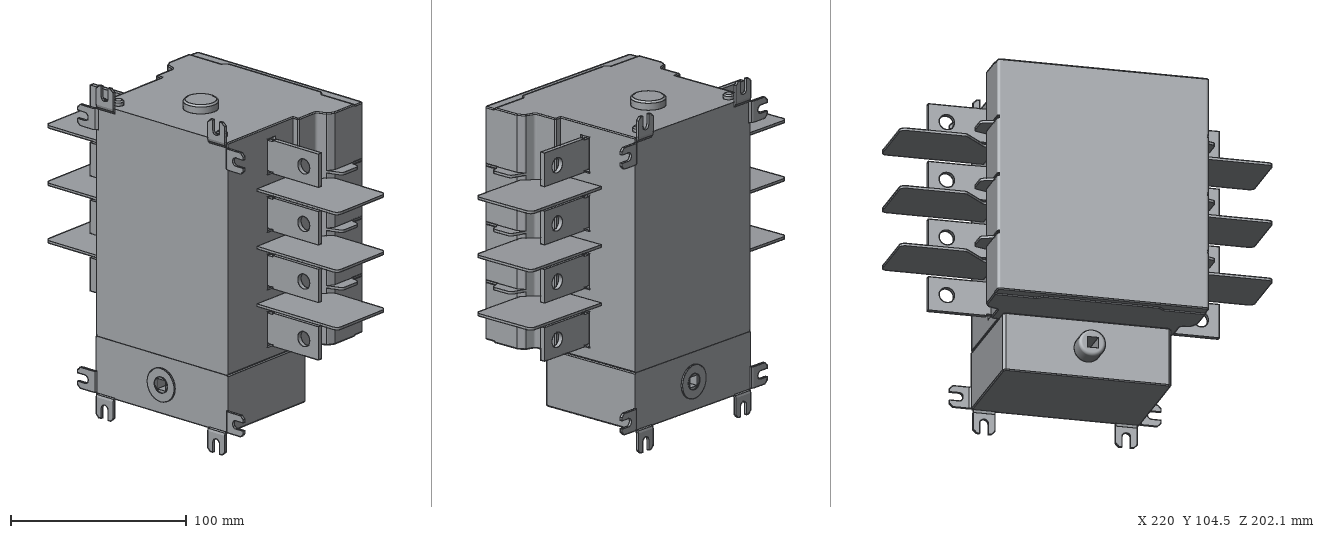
import cadquery as cq

POLES = 4
POLE_PITCH = 35.0
END_PLATE = 0.7
BODY_HEIGHT = POLES * POLE_PITCH + 2 * END_PLATE
EDGE_BREAK = 0.7

LOWER_HALF_WIDTH = 49.5
STEP_HALF_WIDTH = 54.0
COVER_HALF_WIDTH = 62.5
STEP_LEVEL = 56.5
STEP_CHAMFER = 0.9
FLARE_LEVEL = 71.7
FLARE_SLOPE = 0.36
FLARE_END = 59.8
FLANK_BEVEL = (60.5, 74.5)
FLANK_LEVEL = 78.0
FLARE_INNER_RADIUS = 1.8
SHOULDER_LEVEL = 95.7
RIDGE_LEVEL = 98.8
RIDGE_HALF_WIDTH = 34.5

COVER_START = 92.8
COVER_LEVEL = 103.0
COVER_CORNER_RADIUS = 1.8
GROOVE_DEPTH = 0.9

EMBED_DEPTH = 4.5

BARRIER_THICKNESS = 1.5
BARRIER_REACH = 110
BARRIER_LOW = 25.5
BARRIER_HIGH = 67.8
BARRIER_NECK = 53.5
BARRIER_NECK_X = 57.0
BARRIER_CORNER_RADIUS = 3.3
WING_REACH = 69.3
WING_HIGH = 90.6
WING_CORNER_RADIUS = 2.6

TERMINAL_REACH = 86.0
TERMINAL_WIDTH = 20.2
TERMINAL_THICKNESS = 2.9
TERMINAL_LEVEL = 38.0
TERMINAL_HOLE_X = 75.0
TERMINAL_HOLE_DIAMETER = 9.0
TERMINAL_NECK_WIDTH = 18.5
TERMINAL_NECK_END = 51.5
POCKET_WIDTH = 6.8
POCKET_HEIGHT = 21.8
POCKET_DEPTH = 1.8

DRIVE_HEIGHT = POLE_PITCH
DRIVE_DEPTH = 68.5
DRIVE_CORNER = 1.5
DRIVE_PROUD = 0.2
SHAFT_Z = -DRIVE_HEIGHT / 2
KNOB_RADIUS = 8.0
KNOB_LENGTH = 11.7
KNOB_ROUND = 2.0
COLLAR_RADIUS = 10.1
COLLAR_HEIGHT = 1.3
SOCKET_RADIUS = 4.8
SOCKET_DEPTH = 0.7
SHAFT_SQUARE = 6.4

CAP_RADIUS = 10.1
CAP_HEIGHT = 5.3
CAP_LEVEL = 33.7
CAP_CHAMFER = 1.0
STUD_X = 39.0
STUD_LEVEL = 7.0
STUD_RADIUS = 3.0
STUD_HEIGHT = 2.9
STUD_CHAMFER = 0.9

LUG_WIDTH = 12.8
LUG_LENGTH = 13.6
SIDE_LUG_LENGTH = 13.0
LUG_PROUD = 1.5
LUG_BEND = 1.5
LUG_FOLD = 1.0
LUG_BACK = 0.7
LUG_TUCK = 0.7
LUG_DEEP_TUCK = 1.5
LUG_TIP_CHAMFER = 2.0
LUG_SLOT_WIDTH = 5.0
LUG_SLOT_CENTRE = 7.5
LUG_X = 42.0
UPPER_SIDE_LUG_Z = 132
LOWER_SIDE_LUG_Z = -27.7


def box(x_range, y_range, z_range):
    """Axis-aligned block between the given limits."""
    size = [high - low for low, high in (x_range, y_range, z_range)]
    origin = (x_range[0], y_range[0], z_range[0])
    return cq.Workplane("XY").box(*size, centered=False).translate(origin)


def both_sides(solid):
    """The solid together with its mirror image across the YZ plane."""
    return solid.union(solid.mirror("YZ"))


def edges_along_z(solid, corners):
    """Edges parallel to Z that pass through the given (x, y) corners."""
    reach = 0.1
    picked = solid.newObject([])
    for x, y in corners:
        near = cq.selectors.BoxSelector(
            (x - reach, y - reach, -BODY_HEIGHT), (x + reach, y + reach, 2 * BODY_HEIGHT)
        )
        picked = picked.add(solid.edges("|Z").edges(near))
    return picked


def mirrored(corners):
    """The given corners together with their mirror images in X."""
    return corners + [(-x, y) for x, y in corners]


def flare_level(x):
    """Y level of the sloping flank at a given X."""
    return FLARE_LEVEL + FLARE_SLOPE * (x - STEP_HALF_WIDTH)


def housing():
    flare_root = (STEP_HALF_WIDTH, FLARE_LEVEL)
    ridge_foot = RIDGE_HALF_WIDTH + RIDGE_LEVEL - SHOULDER_LEVEL
    right = [
        (LOWER_HALF_WIDTH, 0),
        (LOWER_HALF_WIDTH, STEP_LEVEL),
        (STEP_HALF_WIDTH, STEP_LEVEL),
        flare_root,
        (FLARE_END, flare_level(FLARE_END)),
        FLANK_BEVEL,
        (COVER_HALF_WIDTH, FLANK_LEVEL),
        (COVER_HALF_WIDTH, SHOULDER_LEVEL),
        (ridge_foot, SHOULDER_LEVEL),
        (RIDGE_HALF_WIDTH, RIDGE_LEVEL),
    ]
    left = [(-x, y) for x, y in reversed(right)]
    body = cq.Workplane("XY").polyline(right + left).close().extrude(BODY_HEIGHT)
    body = edges_along_z(body, mirrored([flare_root])).fillet(FLARE_INNER_RADIUS)
    body = edges_along_z(body, mirrored([(STEP_HALF_WIDTH, STEP_LEVEL)])).chamfer(STEP_CHAMFER)
    above_mounting_face = cq.selectors.BoxSelector(
        (-BARRIER_REACH, EDGE_BREAK, -2.2), (BARRIER_REACH, COVER_LEVEL, BODY_HEIGHT + 2.2)
    )
    return body.faces("<Z or >Z").edges().edges(above_mounting_face).chamfer(EDGE_BREAK)


def cover():
    lid = box(
        (-COVER_HALF_WIDTH, COVER_HALF_WIDTH),
        (COVER_START, COVER_LEVEL),
        (END_PLATE, BODY_HEIGHT - END_PLATE),
    )
    lid = lid.edges("|Z and >Y").fillet(COVER_CORNER_RADIUS)
    return lid.faces("<Z or >Z").edges("not <Y").chamfer(EDGE_BREAK)


def cover_groove(z):
    groove = box(
        (COVER_HALF_WIDTH - GROOVE_DEPTH, COVER_HALF_WIDTH),
        (COVER_START, COVER_LEVEL),
        (z - BARRIER_THICKNESS / 2, z + BARRIER_THICKNESS / 2),
    )
    return both_sides(groove)


def plate(corners, rounded, radius, z):
    """Thin plate centred on z with some of its corners rounded, on both sides of the housing."""
    blank = cq.Workplane("XY").polyline(corners).close().extrude(BARRIER_THICKNESS)
    blank = edges_along_z(blank, rounded).fillet(radius)
    return both_sides(blank.translate((0, 0, z - BARRIER_THICKNESS / 2)))


def barrier(z):
    root = LOWER_HALF_WIDTH - EMBED_DEPTH
    low_corner = (BARRIER_REACH, BARRIER_LOW)
    high_corner = (BARRIER_REACH, BARRIER_HIGH)
    slope_top = (BARRIER_NECK_X + BARRIER_HIGH - BARRIER_NECK, BARRIER_HIGH)
    slope_foot = (BARRIER_NECK_X, BARRIER_NECK)
    corners = [(root, BARRIER_LOW), low_corner, high_corner, slope_top, slope_foot, (root, BARRIER_NECK)]
    rounded = [low_corner, high_corner, slope_top, slope_foot]
    return plate(corners, rounded, BARRIER_CORNER_RADIUS, z)


def wing(z):
    root = STEP_HALF_WIDTH
    low_corner = (WING_REACH, flare_level(WING_REACH))
    high_corner = (WING_REACH, WING_HIGH)
    high_root = (root, WING_HIGH + FLARE_SLOPE * (WING_REACH - root))
    corners = [(root, FLARE_LEVEL), low_corner, high_corner, high_root]
    return plate(corners, [low_corner, high_corner], WING_CORNER_RADIUS, z)


def terminal_pocket(z):
    pocket = box(
        (LOWER_HALF_WIDTH - POCKET_DEPTH, LOWER_HALF_WIDTH),
        (TERMINAL_LEVEL - POCKET_WIDTH / 2, TERMINAL_LEVEL + POCKET_WIDTH / 2),
        (z - POCKET_HEIGHT / 2, z + POCKET_HEIGHT / 2),
    )
    return both_sides(pocket)


def terminal(z):
    thickness_range = (TERMINAL_LEVEL - TERMINAL_THICKNESS / 2, TERMINAL_LEVEL + TERMINAL_THICKNESS / 2)
    blade = box(
        (TERMINAL_NECK_END, TERMINAL_REACH),
        thickness_range,
        (z - TERMINAL_WIDTH / 2, z + TERMINAL_WIDTH / 2),
    )
    hole = (
        cq.Workplane("XZ", origin=(TERMINAL_HOLE_X, 0, z))
        .circle(TERMINAL_HOLE_DIAMETER / 2)
        .extrude(-COVER_LEVEL)
    )
    neck = box(
        (LOWER_HALF_WIDTH - EMBED_DEPTH, TERMINAL_NECK_END),
        thickness_range,
        (z - TERMINAL_NECK_WIDTH / 2, z + TERMINAL_NECK_WIDTH / 2),
    )
    return both_sides(blade.cut(hole).union(neck))


def drive_box():
    half_width = LOWER_HALF_WIDTH + DRIVE_PROUD
    case = box((-half_width, half_width), (-DRIVE_PROUD, DRIVE_DEPTH), (-DRIVE_HEIGHT, 0))
    case = case.edges("|Z and >Y").chamfer(DRIVE_CORNER)
    case = case.faces("<Z or >Z").edges("not <Y").chamfer(EDGE_BREAK)
    knob = (
        cq.Workplane("XZ", origin=(0, DRIVE_DEPTH, SHAFT_Z))
        .circle(KNOB_RADIUS)
        .extrude(-KNOB_LENGTH)
        .faces(">Y").edges().fillet(KNOB_ROUND)
    )
    collar = cq.Workplane("XZ", origin=(0, 0, SHAFT_Z)).circle(COLLAR_RADIUS).extrude(COLLAR_HEIGHT)
    return case.union(knob).union(collar)


def drive_socket():
    """Round recess in the mounting face, carried on as a square hole through the knob."""
    face = cq.Workplane("XZ", origin=(0, -COLLAR_HEIGHT, SHAFT_Z))
    recess = face.circle(SOCKET_RADIUS).extrude(-SOCKET_DEPTH)
    square = face.rect(SHAFT_SQUARE, SHAFT_SQUARE).extrude(-(COLLAR_HEIGHT + DRIVE_DEPTH + KNOB_LENGTH))
    return recess.union(square)


def end_boss(x, y, radius, height, chamfer):
    """Round boss with a chamfered rim standing on the top end of the housing."""
    base = cq.Workplane("XY", origin=(x, y, BODY_HEIGHT))
    return base.circle(radius).extrude(height).faces(">Z").edges().chamfer(chamfer)


def lug(length, tuck):
    """Slotted lug pointing up +Z, folded at z = 0 with its root reaching down into the housing face."""
    side = [
        (0, -tuck),
        (-LUG_FOLD, 0),
        (-LUG_PROUD, LUG_BEND),
        (-LUG_PROUD, length),
        (0, length),
        (0, LUG_BEND),
        (LUG_BACK, 0),
        (LUG_BACK, -tuck),
    ]
    bracket = cq.Workplane("YZ").polyline(side).close().extrude(LUG_WIDTH / 2, both=True)
    bracket = bracket.faces(">Z").edges("<X or >X").chamfer(LUG_TIP_CHAMFER)
    slot = (
        cq.Workplane("XZ", origin=(0, 0, LUG_SLOT_CENTRE))
        .circle(LUG_SLOT_WIDTH / 2)
        .extrude(LUG_PROUD)
    )
    mouth = box(
        (-LUG_SLOT_WIDTH / 2, LUG_SLOT_WIDTH / 2),
        (-LUG_PROUD, 0),
        (LUG_SLOT_CENTRE, length),
    )
    return bracket.cut(slot).cut(mouth)


def turned(solid, angle):
    """The solid turned about the Y axis; 90 degrees takes +Z to +X."""
    return solid.rotate((0, 0, 0), (0, 1, 0), angle)


def mounting_lugs():
    upper = lug(LUG_LENGTH, LUG_DEEP_TUCK).translate((LUG_X, 0, BODY_HEIGHT - LUG_BEND))
    lower = turned(lug(LUG_LENGTH, LUG_TUCK), 180).translate((LUG_X, 0, -DRIVE_HEIGHT))
    upper_side = turned(lug(SIDE_LUG_LENGTH, LUG_DEEP_TUCK), 90)
    upper_side = upper_side.translate((LOWER_HALF_WIDTH, 0, UPPER_SIDE_LUG_Z))
    lower_side = turned(lug(SIDE_LUG_LENGTH, LUG_TUCK), 90)
    lower_side = lower_side.translate((LOWER_HALF_WIDTH, 0, LOWER_SIDE_LUG_Z))
    return both_sides(upper.union(lower).union(upper_side).union(lower_side))


pole_levels = [END_PLATE + POLE_PITCH * (i + 0.5) for i in range(POLES)]
barrier_levels = [END_PLATE + POLE_PITCH * i for i in range(1, POLES)]

result = housing().union(cover()).union(drive_box()).cut(drive_socket())
for level in barrier_levels:
    result = result.cut(cover_groove(level)).union(barrier(level)).union(wing(level))
for level in pole_levels:
    result = result.cut(terminal_pocket(level)).union(terminal(level))
result = result.union(end_boss(0, CAP_LEVEL, CAP_RADIUS, CAP_HEIGHT, CAP_CHAMFER))
for side in (-1, 1):
    result = result.union(end_boss(side * STUD_X, STUD_LEVEL, STUD_RADIUS, STUD_HEIGHT, STUD_CHAMFER))
result = result.union(mounting_lugs())